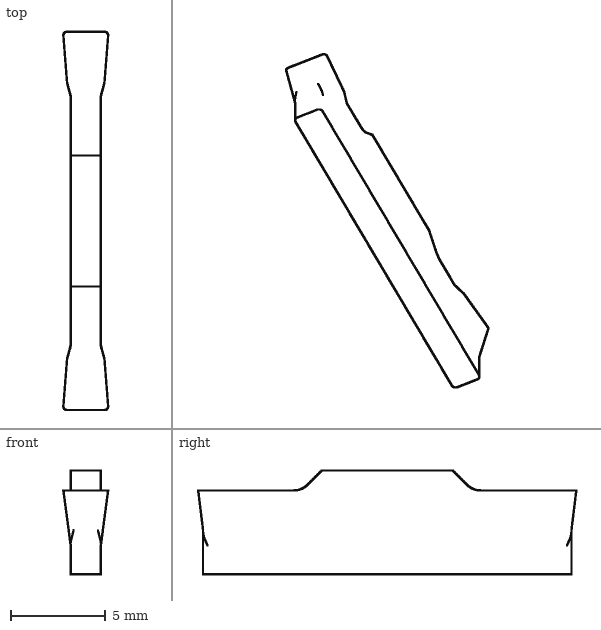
import cadquery as cq
import math

overall_length = 20.09
overall_height = 5.51
cutting_width = 2.39

blade_width = 1.6
cutting_plane_z = 4.46
front_kink_z = 2.4
blade_corner_radius = 0.22

ridge_top_half_length = 3.48
ridge_slope_angle = math.radians(45)
ridge_root_radius = 0.98

clearance_angle = 7.0
side_taper_angle = 4.5
neck_angle = 15.0
flank_length = 2.71
neck_length = 2.0
head_depth = 3.3
nose_radius = 0.2
neck_edge_radius = 0.3

head_tip_y = overall_length / 2
clearance_slope = math.tan(math.radians(clearance_angle))
blade_half_length = head_tip_y - (cutting_plane_z - front_kink_z) * clearance_slope
side_taper_slope = math.tan(math.radians(side_taper_angle))
corner_turn = math.radians(90 + side_taper_angle)
nose_setback = nose_radius * (1 - math.cos(corner_turn))
tip_half_width = cutting_width / 2 + nose_setback * side_taper_slope
flank_end_half_width = tip_half_width - flank_length * side_taper_slope
neck_end_half_width = flank_end_half_width - neck_length * math.tan(math.radians(neck_angle))


def make_blade():
    """Constant-width blade with the clamping ridge, extruded across X."""
    arc_rise = ridge_root_radius * (1 - math.cos(ridge_slope_angle))
    slope_rise = overall_height - cutting_plane_z - arc_rise
    slope_end_y = ridge_top_half_length + slope_rise / math.tan(ridge_slope_angle)
    slope_end_z = cutting_plane_z + arc_rise
    root_end_y = slope_end_y + ridge_root_radius * math.sin(ridge_slope_angle)
    half_angle = ridge_slope_angle / 2
    root_mid_y = root_end_y - ridge_root_radius * math.sin(half_angle)
    root_mid_z = cutting_plane_z + ridge_root_radius * (1 - math.cos(half_angle))

    profile = (
        cq.Workplane("YZ")
        .moveTo(-blade_half_length, 0)
        .lineTo(blade_half_length, 0)
        .lineTo(blade_half_length, cutting_plane_z)
        .lineTo(root_end_y, cutting_plane_z)
        .threePointArc((root_mid_y, root_mid_z), (slope_end_y, slope_end_z))
        .lineTo(ridge_top_half_length, overall_height)
        .lineTo(-ridge_top_half_length, overall_height)
        .lineTo(-slope_end_y, slope_end_z)
        .threePointArc((-root_mid_y, root_mid_z), (-root_end_y, cutting_plane_z))
        .lineTo(-blade_half_length, cutting_plane_z)
        .close()
    )
    blade = profile.extrude(blade_width / 2, both=True)
    return blade.edges("|Z").fillet(blade_corner_radius)


def fillet_upright_edges(solid, y_min, y_max, radius):
    """Round the upright edges whose centres lie in the band between y_min and y_max."""
    band = cq.selectors.BoxSelector(
        (-cutting_width, y_min, 0),
        (cutting_width, y_max, overall_height),
    )
    return solid.edges("not #Z").edges(band).fillet(radius)


def make_head():
    """Cutting head at the +Y end, narrowing downward by the clearance angle on every side."""
    flank_end_y = head_tip_y - flank_length
    neck_end_y = flank_end_y - neck_length
    flank_middle_y = (flank_end_y + head_tip_y) / 2
    neck_middle_y = (neck_end_y + flank_end_y) / 2
    outline = [
        (tip_half_width, head_tip_y),
        (flank_end_half_width, flank_end_y),
        (neck_end_half_width, neck_end_y),
        (-neck_end_half_width, neck_end_y),
        (-flank_end_half_width, flank_end_y),
        (-tip_half_width, head_tip_y),
    ]
    head = (
        cq.Workplane("XY")
        .workplane(offset=cutting_plane_z)
        .polyline(outline)
        .close()
        .extrude(-head_depth, taper=clearance_angle)
    )
    head = fillet_upright_edges(head, flank_middle_y, head_tip_y, nose_radius)
    return fillet_upright_edges(head, neck_middle_y, flank_middle_y, neck_edge_radius)


head = make_head()
result = make_blade().union(head).union(head.mirror("XZ"))